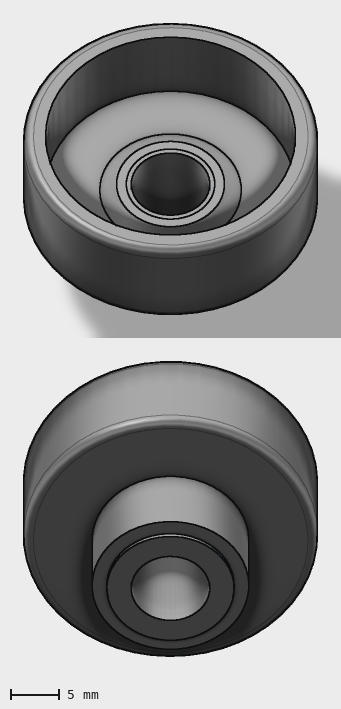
import cadquery as cq
import math

CUP_DIAMETER = 30.0
CUP_HEIGHT = 11.0
CAVITY_DIAMETER = 25.5
FLOOR_THICKNESS = 2.0
EDGE_RADIUS = 1.0

HUB_DIAMETER = 16.0
HUB_LENGTH = 7.98
BOSS_TOP_DIAMETER = 11.0
BOSS_HEIGHT = 1.0
BOSS_SLOPE_FROM_AXIS = 60.0

BORE_DIAMETER = 8.0
SLEEVE_WALL = 0.5
FLANGE_DIAMETER = 13.0

sleeve_diameter = BORE_DIAMETER + 2 * SLEEVE_WALL
flange_thickness = SLEEVE_WALL
boss_top_z = FLOOR_THICKNESS + BOSS_HEIGHT
boss_base_radius = BOSS_TOP_DIAMETER / 2 + BOSS_HEIGHT * math.tan(math.radians(BOSS_SLOPE_FROM_AXIS))


def cylinder(diameter, bottom_z, top_z):
    """Upright cylinder on the Z axis."""
    return cq.Workplane("XY").workplane(offset=bottom_z).circle(diameter / 2).extrude(top_z - bottom_z)


def make_boss():
    """Cone frustum that rises from the cup floor."""
    return cq.Workplane(
        cq.Solid.makeCone(
            boss_base_radius,
            BOSS_TOP_DIAMETER / 2,
            BOSS_HEIGHT,
            pnt=cq.Vector(0, 0, FLOOR_THICKNESS),
        )
    )


def make_wheel():
    """Cup with rounded outer edges, hub, boss and a through hole for the sleeve."""
    cup = cylinder(CUP_DIAMETER, 0, CUP_HEIGHT).edges().fillet(EDGE_RADIUS)
    cavity = cylinder(CAVITY_DIAMETER, FLOOR_THICKNESS, CUP_HEIGHT)
    hub = cylinder(HUB_DIAMETER, -HUB_LENGTH, FLOOR_THICKNESS)
    sleeve_hole = cylinder(sleeve_diameter, -HUB_LENGTH, boss_top_z)
    return cup.cut(cavity).union(hub).union(make_boss()).cut(sleeve_hole)


def make_sleeve():
    """Thin sleeve flush with the boss top, its flange seated against the hub end."""
    flange_bottom_z = -HUB_LENGTH - flange_thickness
    tube = cylinder(sleeve_diameter, -HUB_LENGTH, boss_top_z)
    flange = cylinder(FLANGE_DIAMETER, flange_bottom_z, -HUB_LENGTH)
    bore = cylinder(BORE_DIAMETER, flange_bottom_z, boss_top_z)
    return tube.union(flange).cut(bore)


wheel = make_wheel()
sleeve = make_sleeve()

result = cq.Compound.makeCompound([wheel.solids().val(), sleeve.solids().val()])